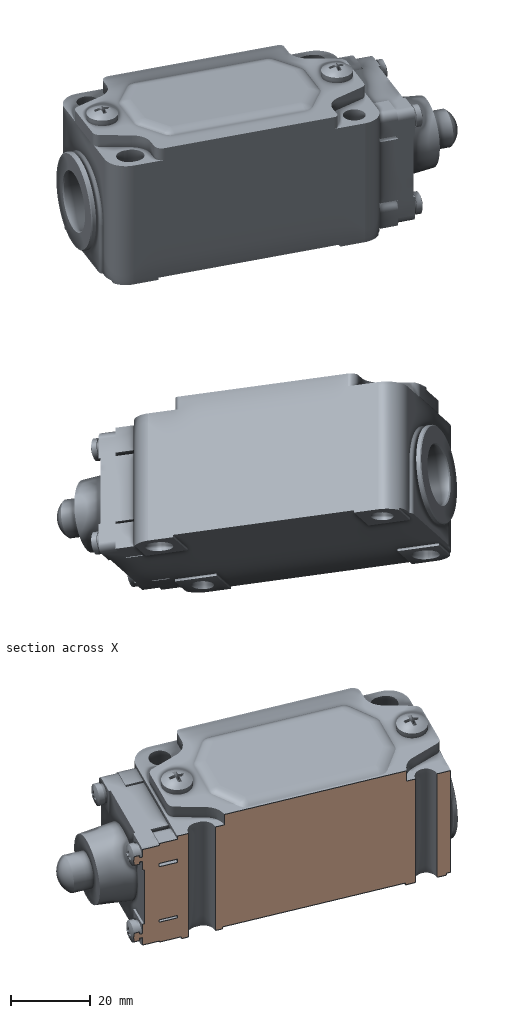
import cadquery as cq
import math


overall_length = 102.5

body_width = 40.0
body_length = 73.3
body_corner_radius = 5.6
body_bottom = 0.6
body_top = 34.0
foot_width = 10.0
foot_inner_y = 24.4
foot_outer_y = 35.6

hole_x = 15.0
hole_y = 30.0
hole_diameter = 5.7
slot_width = 6.2
slot_length = 7.2

cover_center_y = -0.4
cover_length = 72.8
cover_thickness = 3.4
cover_tab_half_width = 7.4
cover_notch_half_width = 12.2
cover_notch_y = 24.4
cover_inner_radius = 5.1
cover_tab_radius = 2.0
cover_side_front_radius = 2.0
cover_side_back_radius = 1.1

panel_height = 0.9
panel_edge_radius = 5.2
panel_half_width = 11.5
panel_half_length = 21.9
panel_end_half_width = 5.1
panel_side_half_length = 17.5

cover_screw_spacing = 62.9
cover_screw_radius = 4.0
cover_screw_rim = 1.5
cover_screw_dome = 1.3
cover_recess_span = 4.8
cover_recess_width = 1.0
cover_recess_depth = 2.0
head_screw_offset = 12.5
head_screw_radius = 2.9
head_screw_rim = 1.4
head_screw_dome = 0.7
head_recess_span = 3.5
head_recess_width = 0.7
head_recess_depth = 1.2
head_screw_neck_radius = 2.6
head_screw_neck = 0.7

head_width = 31.8
head_bottom = body_bottom
head_top = 32.7
head_end_y = 45.5
head_corner_radius = 2.0
notch_end_y = 41.4
notch_width = 7.1
notch_height = 7.3
post_size = 6.7
post_radius = 2.0
post_raise = 0.3
pad_thickness = 0.5
collar_base_radius = 10.2
collar_tip_radius = 9.2
collar_end_y = 55.1
plunger_radius = 4.9
plunger_dome = 2.6

entry_z = 15.1
entry_pad_z = 14.6
entry_pad_radius = 13.2
entry_pad_edge = 1.3
entry_pad_height = 0.7
entry_neck_radius = 9.4
entry_neck_length = 0.9
flange_radius = 12.6
flange_thickness = 1.2
flange_chamfer = 0.26
bore_radius = 7.7
bore_chamfer = 0.3
bore_depth = 7.7

half_width = body_width / 2
front_y = -body_length / 2
back_y = body_length / 2
cover_top = body_top + cover_thickness
head_center_z = (head_bottom + head_top) / 2
neck_y = front_y - entry_pad_height
flange_y = neck_y - entry_neck_length
entry_end_y = flange_y - flange_thickness
plunger_tip_y = entry_end_y + overall_length
plunger_shoulder_y = plunger_tip_y - plunger_dome
SIGNS = (-1, 1)


def box(x0, x1, y0, y1, z0, z1):
    """Box between opposite corners."""
    return cq.Workplane("XY").box(x1 - x0, y1 - y0, z1 - z0, centered=False).translate((x0, y0, z0))


def spin_y(profile, z):
    """Revolve a (radius, y) profile, given as a closed XY sketch, about a Y axis at height z."""
    return profile.revolve(360, (0, 0, 0), (0, 1, 0)).translate((0, 0, z))


def screw_head(radius, rim, dome, span, width, depth):
    """Domed cross-recess screw head standing on Z = 0."""
    top = rim + dome
    sphere_radius = (radius ** 2 + dome ** 2) / (2 * dome)
    middle = radius / 2
    shoulder = top - sphere_radius + math.sqrt(sphere_radius ** 2 - middle ** 2)
    head = (
        cq.Workplane("XZ")
        .lineTo(radius, 0)
        .lineTo(radius, rim)
        .threePointArc((middle, shoulder), (0, top))
        .close()
        .revolve(360, (0, 0, 0), (0, 1, 0))
    )
    bar = (
        cq.Workplane("XZ")
        .polyline([(-span / 2, top), (span / 2, top), (width / 2, top - depth), (-width / 2, top - depth)])
        .close()
        .extrude(width / 2, both=True)
    )
    return head.cut(bar).cut(bar.rotate((0, 0, 0), (0, 0, 1), 90))


def make_body():
    body = (
        cq.Workplane("XY", origin=(0, 0, body_bottom))
        .rect(body_width, body_length)
        .extrude(body_top - body_bottom)
        .edges("|Z")
        .fillet(body_corner_radius)
    )
    footprint = body.translate((0, 0, -body_bottom))
    for sx in SIGNS:
        for sy in SIGNS:
            foot = (
                cq.Workplane("XY")
                .center(sx * (half_width - foot_width / 2), sy * (foot_inner_y + foot_outer_y) / 2)
                .rect(foot_width, foot_outer_y - foot_inner_y)
                .extrude(body_bottom)
            )
            body = body.union(foot.intersect(footprint))
    return body


def make_cover():
    half_length = cover_length / 2
    quarter = [
        (cover_tab_half_width, half_length),
        (cover_notch_half_width, cover_notch_y),
        (half_width, cover_notch_y),
    ]
    right = quarter + [(x, -y) for x, y in reversed(quarter)]
    left = [(-x, y) for x, y in reversed(right)]
    cover = cq.Workplane("XY").polyline(right + left).close().extrude(cover_thickness)
    for sy, side_radius in ((-1, cover_side_front_radius), (1, cover_side_back_radius)):
        for sx in SIGNS:
            for x, y, radius in (
                (cover_notch_half_width, cover_notch_y, cover_inner_radius),
                (cover_tab_half_width, half_length, cover_tab_radius),
                (half_width, cover_notch_y, side_radius),
            ):
                corner = cq.selectors.NearestToPointSelector((sx * x, sy * y, cover_thickness / 2))
                cover = cover.edges("|Z").edges(corner).fillet(radius)
    return cover.translate((0, cover_center_y, body_top))


def make_panel():
    """Octagonal panel whose rounded edge sinks into the cover."""
    quarter = [(panel_end_half_width, panel_half_length), (panel_half_width, panel_side_half_length)]
    right = quarter + [(x, -y) for x, y in reversed(quarter)]
    left = [(-x, -y) for x, y in right]
    corners = right + left
    panel = cq.Workplane("XY").polyline(corners).close().extrude(panel_edge_radius)
    for (x0, y0), (x1, y1) in zip(corners, corners[1:] + corners[:1]):
        bar_plane = cq.Plane(origin=(x0, y0, 0), xDir=(0, 0, 1), normal=(x1 - x0, y1 - y0, 0))
        bar = cq.Workplane(bar_plane).circle(panel_edge_radius).extrude(math.hypot(x1 - x0, y1 - y0))
        ball = cq.Workplane("XY").sphere(panel_edge_radius).translate((x0, y0, 0))
        panel = panel.union(bar).union(ball)
    sunk_depth = panel_edge_radius - panel_height
    exposed = box(-half_width, half_width, front_y, back_y, sunk_depth, panel_edge_radius)
    return panel.intersect(exposed).translate((0, cover_center_y, cover_top - sunk_depth))


def make_cover_screws():
    head = screw_head(cover_screw_radius, cover_screw_rim, cover_screw_dome,
                      cover_recess_span, cover_recess_width, cover_recess_depth)
    low = head.translate((0, cover_center_y - cover_screw_spacing / 2, cover_top))
    return low.union(low.translate((0, cover_screw_spacing, 0)))


def make_head():
    half_head = head_width / 2
    outline = (
        box(-half_head, half_head, back_y, head_end_y + pad_thickness, head_bottom, head_top)
        .edges("|Y")
        .fillet(head_corner_radius)
    )
    head = outline.intersect(box(-half_head, half_head, back_y, head_end_y, head_bottom, head_top))

    for x in (-half_head, half_head - notch_width):
        for z in (head_bottom, head_top - notch_height):
            corner = box(x, x + notch_width, head_end_y, head_end_y + pad_thickness, z, z + notch_height)
            head = head.union(corner.intersect(outline))
            head = head.cut(box(x, x + notch_width, back_y, notch_end_y, z, z + notch_height))

    post = (
        box(0, post_size, back_y, notch_end_y, 0, post_size)
        .edges("|Y and >X and >Z")
        .fillet(post_radius)
    )
    for x in (-half_head, half_head - post_size):
        for z in (head_bottom, head_top + post_raise - post_size):
            head = head.union(post.translate((x, 0, z)))
    return head


def make_head_screws():
    screw = screw_head(head_screw_radius, head_screw_rim, head_screw_dome,
                       head_recess_span, head_recess_width, head_recess_depth)
    neck = cq.Workplane("XY").circle(head_screw_neck_radius).extrude(-head_screw_neck)
    screw = screw.union(neck).rotate((0, 0, 0), (1, 0, 0), -90)
    screw_y = head_end_y + pad_thickness + head_screw_neck
    screws = cq.Workplane("XY")
    for sx in SIGNS:
        for sz in SIGNS:
            place = (sx * head_screw_offset, screw_y, head_center_z + sz * head_screw_offset)
            screws = screws.add(screw.translate(place))
    return screws.combine()


def make_plunger():
    dome_radius = (plunger_radius ** 2 + plunger_dome ** 2) / (2 * plunger_dome)
    middle = plunger_radius / 2
    middle_y = plunger_tip_y - dome_radius + math.sqrt(dome_radius ** 2 - middle ** 2)
    profile = (
        cq.Workplane("XY")
        .moveTo(0, head_end_y)
        .lineTo(collar_base_radius, head_end_y)
        .lineTo(collar_tip_radius, collar_end_y)
        .lineTo(plunger_radius, collar_end_y)
        .lineTo(plunger_radius, plunger_shoulder_y)
        .threePointArc((middle, middle_y), (0, plunger_tip_y))
        .close()
    )
    return spin_y(profile, head_center_z)


def make_entry_pad():
    """Arched pad with a rounded front edge, sunk into the front wall."""
    pad = (
        cq.Workplane("XZ", origin=(0, neck_y + 2 * entry_pad_edge, 0))
        .moveTo(-entry_pad_radius, body_bottom)
        .lineTo(-entry_pad_radius, entry_pad_z)
        .threePointArc((0, entry_pad_z + entry_pad_radius), (entry_pad_radius, entry_pad_z))
        .lineTo(entry_pad_radius, body_bottom)
        .close()
        .extrude(2 * entry_pad_edge)
    )
    return pad.faces("<Y").edges("not <Z").fillet(entry_pad_edge)


def make_entry_flange():
    profile = (
        cq.Workplane("XY")
        .moveTo(0, front_y)
        .lineTo(entry_neck_radius, front_y)
        .lineTo(entry_neck_radius, flange_y)
        .lineTo(flange_radius, flange_y)
        .lineTo(flange_radius, entry_end_y + flange_chamfer)
        .lineTo(flange_radius - flange_chamfer, entry_end_y)
        .lineTo(0, entry_end_y)
        .close()
    )
    return spin_y(profile, entry_z)


def make_entry_bore():
    profile = (
        cq.Workplane("XY")
        .moveTo(0, entry_end_y)
        .lineTo(bore_radius + bore_chamfer, entry_end_y)
        .lineTo(bore_radius, entry_end_y + bore_chamfer)
        .lineTo(bore_radius, entry_end_y + bore_depth)
        .lineTo(0, entry_end_y + bore_depth)
        .close()
    )
    return spin_y(profile, entry_z)


def make_mounting_holes():
    """Round holes on one diagonal, slots along Y on the other."""
    rounds = (
        cq.Workplane("XY")
        .pushPoints([(-hole_x, -hole_y), (hole_x, hole_y)])
        .circle(hole_diameter / 2)
        .extrude(cover_top)
    )
    slots = (
        cq.Workplane("XY")
        .pushPoints([(-hole_x, hole_y), (hole_x, -hole_y)])
        .slot2D(slot_length, slot_width, 90)
        .extrude(cover_top)
    )
    return rounds.union(slots)


result = (
    make_body()
    .union(make_cover())
    .union(make_panel())
    .union(make_cover_screws())
    .union(make_head())
    .union(make_plunger())
    .union(make_head_screws())
    .union(make_entry_pad())
    .union(make_entry_flange())
    .cut(make_entry_bore())
    .cut(make_mounting_holes())
)